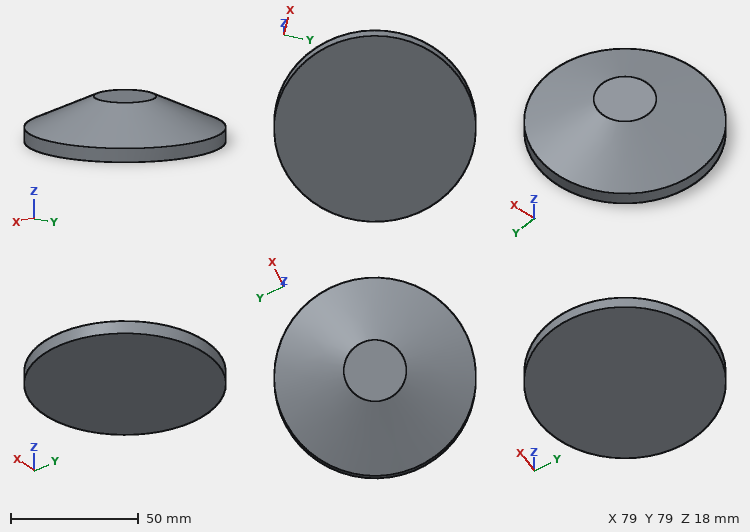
import cadquery as cq

outer_diameter = 79.0
top_diameter = 24.5
total_height = 18.0
rim_height = 5.6

outer_radius = outer_diameter / 2
top_radius = top_diameter / 2

half_section = (
    cq.Workplane("XZ")
    .lineTo(outer_radius, 0)
    .lineTo(outer_radius, rim_height)
    .lineTo(top_radius, total_height)
    .lineTo(0, total_height)
    .close()
)

result = half_section.revolve(360, (0, 0, 0), (0, 1, 0))